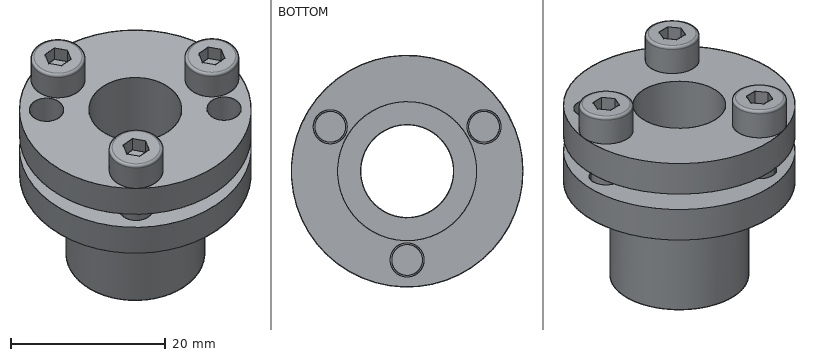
import cadquery as cq
import math

flange_diameter = 30.0
flange_thickness = 4.6
neck_diameter = 16.35
neck_length = 2.3
hub_diameter = 18.0
hub_length = 14.0
bore_diameter = 12.0

pitch_radius = 11.5
screw_angles = [90, 210, 330]
jack_hole_angles = [60, 240]
flange_hole_diameter = 4.4

shank_diameter = 4.0
head_diameter = 7.0
head_height = 4.0
head_fillet = 0.4
socket_across_flats = 3.0
socket_depth = 2.0
socket_corner_angle = 45

lower_flange_bottom = hub_length
lower_flange_top = lower_flange_bottom + flange_thickness
upper_flange_bottom = lower_flange_top + neck_length
upper_flange_top = upper_flange_bottom + flange_thickness
head_top = upper_flange_top + head_height


def pitch_point(angle):
    """Point on the pitch circle at an angle in degrees from +X."""
    return (
        pitch_radius * math.cos(math.radians(angle)),
        pitch_radius * math.sin(math.radians(angle)),
    )


def cylinder(diameter, bottom, top, centers=((0, 0),)):
    """Upright cylinders between two Z levels, one at each center."""
    return (
        cq.Workplane("XY", origin=(0, 0, bottom))
        .pushPoints(centers)
        .circle(diameter / 2)
        .extrude(top - bottom)
    )


def make_flanged_hub():
    """Hub, two flanges and neck in one piece, with bore, screw holes and jacking holes."""
    screw_centers = [pitch_point(angle) for angle in screw_angles]
    jack_centers = [pitch_point(angle) for angle in jack_hole_angles]
    body = cylinder(hub_diameter, 0, lower_flange_bottom)
    body = body.union(cylinder(flange_diameter, lower_flange_bottom, lower_flange_top))
    body = body.union(cylinder(neck_diameter, lower_flange_top, upper_flange_bottom))
    body = body.union(cylinder(flange_diameter, upper_flange_bottom, upper_flange_top))
    body = body.cut(cylinder(bore_diameter, 0, upper_flange_top))
    body = body.cut(cylinder(flange_hole_diameter, lower_flange_bottom, upper_flange_top, screw_centers))
    body = body.cut(cylinder(flange_hole_diameter, upper_flange_bottom, upper_flange_top, jack_centers))
    return body


def make_cap_screw(angle):
    """Cap screw seated on the upper flange, its shank ending level with the underside of the lower flange."""
    center = pitch_point(angle)
    head = cylinder(head_diameter, upper_flange_top, head_top, [center])
    head = head.faces(">Z").edges().fillet(head_fillet)
    socket_across_corners = socket_across_flats / math.cos(math.radians(30))
    socket = (
        cq.Workplane("XY")
        .polygon(6, socket_across_corners)
        .extrude(socket_depth)
        .rotate((0, 0, 0), (0, 0, 1), socket_corner_angle)
        .translate((*center, head_top - socket_depth))
    )
    shank = cylinder(shank_diameter, lower_flange_bottom, upper_flange_top, [center])
    return head.cut(socket).union(shank)


flanged_hub = make_flanged_hub()
cap_screws = [make_cap_screw(angle) for angle in screw_angles]

result = cq.Compound.makeCompound([flanged_hub.val(), *[screw.val() for screw in cap_screws]])